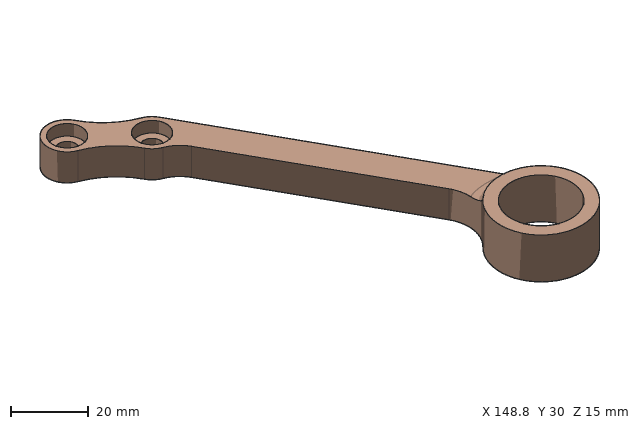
import cadquery as cq
import math

overall_length = 148.8

ring_radius = 15.0
ring_height = 15.0
bore_diameter = 22.0

arm_width = 10.0
arm_height = 10.0
arm_top_y = ring_radius
arm_bottom_y = arm_top_y - arm_width

boss_radius = 7.0
hole_diameter = 6.0
counterbore_diameter = 10.5
counterbore_depth = 4.0
boss_spacing_x = 20.7
boss_spacing_y = 7.1
end_boss_x = ring_radius - overall_length + boss_radius
inner_boss = (end_boss_x + boss_spacing_x, arm_top_y - boss_radius)
end_boss = (end_boss_x, inner_boss[1] - boss_spacing_y)

waist_blend_radius = 25.0
boss_arm_blend_radius = 11.2
ring_arm_blend_radius = 11.9
ring_step_fillet = ring_height - arm_height


def point_towards(start, target, distance):
    """Point at the given distance from start on the way to target."""
    angle = math.atan2(target[1] - start[1], target[0] - start[0])
    return (start[0] + distance * math.cos(angle), start[1] + distance * math.sin(angle))


def waist_blend_center(side):
    """Center of the arc touching both bosses; side is +1 above the waist, -1 below."""
    spacing = math.hypot(boss_spacing_x, boss_spacing_y)
    offset = math.sqrt((waist_blend_radius + boss_radius) ** 2 - (spacing / 2) ** 2)
    middle_x = (end_boss[0] + inner_boss[0]) / 2
    middle_y = (end_boss[1] + inner_boss[1]) / 2
    return (
        middle_x - side * offset * boss_spacing_y / spacing,
        middle_y + side * offset * boss_spacing_x / spacing,
    )


def arm_blend_center(circle_center, circle_radius, blend_radius, side):
    """Center of the arc touching a circle and the arm's lower edge; side is its X direction."""
    center_y = arm_bottom_y - blend_radius
    rise = circle_center[1] - center_y
    run = math.sqrt((circle_radius + blend_radius) ** 2 - rise**2)
    return (circle_center[0] + side * run, center_y)


def make_outline():
    ring_center = (0, 0)
    upper_waist = waist_blend_center(1)
    lower_waist = waist_blend_center(-1)
    boss_blend = arm_blend_center(inner_boss, boss_radius, boss_arm_blend_radius, 1)
    ring_blend = arm_blend_center(ring_center, ring_radius, ring_arm_blend_radius, -1)

    def on_boss(boss, blend):
        return point_towards(boss, blend, boss_radius)

    return (
        cq.Workplane("XY")
        .moveTo(0, arm_top_y)
        .lineTo(inner_boss[0], arm_top_y)
        .tangentArcPoint(on_boss(inner_boss, upper_waist), relative=False)
        .tangentArcPoint(on_boss(end_boss, upper_waist), relative=False)
        .tangentArcPoint(on_boss(end_boss, lower_waist), relative=False)
        .tangentArcPoint(on_boss(inner_boss, lower_waist), relative=False)
        .tangentArcPoint(on_boss(inner_boss, boss_blend), relative=False)
        .tangentArcPoint((boss_blend[0], arm_bottom_y), relative=False)
        .lineTo(ring_blend[0], arm_bottom_y)
        .tangentArcPoint(point_towards(ring_center, ring_blend, ring_radius), relative=False)
        .tangentArcPoint((0, ring_radius), relative=False)
        .close()
    )


def make_height_envelope():
    """Arm-height slab that sweeps up to the ring through a concave quarter-round."""
    slab_radius = overall_length
    flare_radius = ring_radius + ring_step_fillet
    fillet_reach = ring_step_fillet * math.sqrt(0.5)
    fillet_middle = (flare_radius - fillet_reach, ring_height - fillet_reach)
    return (
        cq.Workplane("XZ")
        .lineTo(slab_radius, 0)
        .lineTo(slab_radius, arm_height)
        .lineTo(flare_radius, arm_height)
        .threePointArc(fillet_middle, (ring_radius, ring_height))
        .lineTo(0, ring_height)
        .close()
        .revolve(360, (0, 0, 0), (0, 1, 0))
    )


body = make_outline().extrude(ring_height).intersect(make_height_envelope())

bore = cq.Workplane("XY").circle(bore_diameter / 2).extrude(ring_height)


def make_boss_cylinders(diameter, bottom_z):
    """One cylinder on each boss axis, from bottom_z up to the top of the arm."""
    return (
        cq.Workplane("XY", origin=(0, 0, bottom_z))
        .pushPoints([end_boss, inner_boss])
        .circle(diameter / 2)
        .extrude(arm_height - bottom_z)
    )


screw_holes = make_boss_cylinders(hole_diameter, 0)
counterbores = make_boss_cylinders(counterbore_diameter, arm_height - counterbore_depth)

result = body.cut(bore).cut(screw_holes).cut(counterbores)